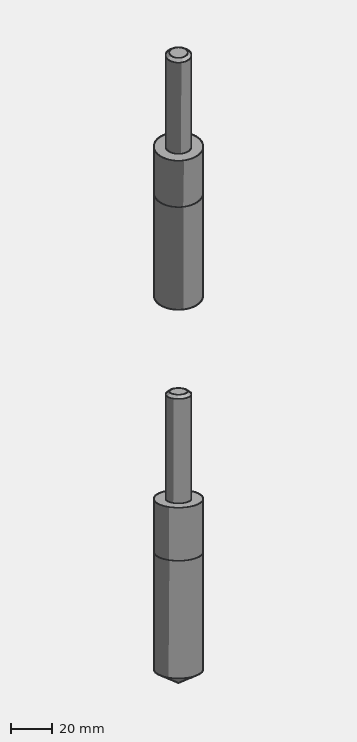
import cadquery as cq

total_height = 152.4
body_diameter = 24.1
shank_diameter = 12.6

cone_height = 7.2
joint_height = 68.6
shoulder_height = 96.3

bevel_width = 1.8
bevel_height = 1.5

body_radius = body_diameter / 2
shank_radius = shank_diameter / 2


def revolve_about_z(half_profile):
    """Turn a closed outline of (radius, height) points around the Z axis."""
    return cq.Workplane("XZ").polyline(half_profile).close().revolve(360, (0, 0), (0, 1))


def make_tip():
    """Cylinder with a conical point, ending in a flat joint face."""
    return revolve_about_z([
        (0, 0),
        (body_radius, cone_height),
        (body_radius, joint_height),
        (0, joint_height),
    ])


def make_holder():
    """Collar that sits on the tip, with a slimmer bevelled shank above it."""
    return revolve_about_z([
        (0, joint_height),
        (body_radius, joint_height),
        (body_radius, shoulder_height),
        (shank_radius, shoulder_height),
        (shank_radius, total_height - bevel_height),
        (shank_radius - bevel_width, total_height),
        (0, total_height),
    ])


tip = make_tip()
holder = make_holder()

result = cq.Compound.makeCompound([tip.val(), holder.val()])